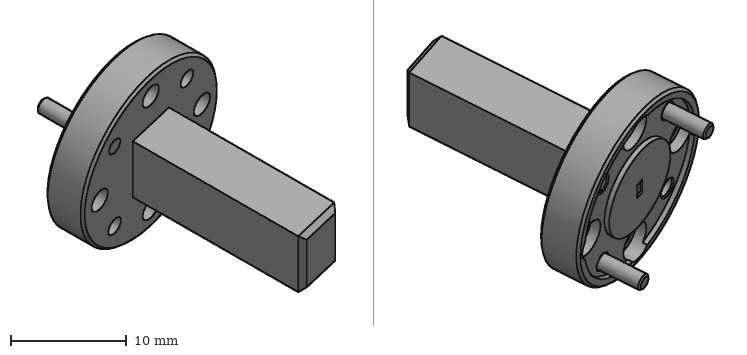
import cadquery as cq
import math

total_length = 26.6
pin_protrusion = 3.85

flange_diameter = 19.05
flange_thickness = 4.1
flange_chamfer = 0.27
front_x = -total_length / 2 + pin_protrusion
back_x = front_x + flange_thickness

recess_diameter = 17.2
hub_diameter = 9.55
recess_depth = 0.5

bar_width = 5.05
bar_height = 7.1
bar_chamfer = 0.53
bar_length = total_length / 2 - back_x

opening_width = 0.82
opening_height = 1.65
opening_depth = 0.2

hole_circle_radius = 7.15
bolt_hole_diameter = 2.25
counterbore_diameter = 3.6
counterbore_depth = 1.55
alignment_hole_diameter = 1.75
hole_chamfer = 0.13

pin_diameter = 1.57
pin_chamfer = 0.15
pin_length = pin_protrusion + flange_thickness

bolt_angles = [0, 90, 180, 270]
alignment_angles = [45, 225]
pin_angles = [135, 315]

floor_x = front_x + recess_depth


def circle_point(angle):
    """Y and Z of a point on the hole circle, with the angle measured from +Y."""
    radians = math.radians(angle)
    return hole_circle_radius * math.cos(radians), hole_circle_radius * math.sin(radians)


def rod(diameter, start_x, length, y=0.0, z=0.0):
    """Solid cylinder that runs along +X from start_x."""
    plane = cq.Workplane("YZ", origin=(start_x, y, z))
    return plane.circle(diameter / 2).extrude(length)


def chamfered_hole(diameter, y, z):
    """Cutter for a hole through the flange, with a chamfer at the recess floor."""
    mouth = cq.Workplane("YZ", origin=(floor_x, y, z)).circle(diameter / 2 + hole_chamfer)
    cone = mouth.workplane(offset=hole_chamfer).circle(diameter / 2).loft()
    return rod(diameter, front_x, flange_thickness, y, z).union(cone)


def make_flange_disc():
    disc = rod(flange_diameter, front_x, flange_thickness)
    disc = disc.faces("<X or >X").chamfer(flange_chamfer)
    hub = rod(hub_diameter, front_x, recess_depth)
    recess = rod(recess_diameter, front_x, recess_depth).cut(hub)
    return disc.cut(recess)


def make_bar():
    section = cq.Workplane("YZ", origin=(back_x, 0, 0)).rect(bar_width, bar_height)
    return section.extrude(bar_length).faces(">X").chamfer(bar_chamfer)


def make_housing():
    housing = make_flange_disc().union(make_bar())
    for angle in bolt_angles:
        y, z = circle_point(angle)
        housing = housing.cut(rod(bolt_hole_diameter, front_x, flange_thickness, y, z))
        housing = housing.cut(rod(counterbore_diameter, front_x, counterbore_depth, y, z))
    for angle in alignment_angles:
        housing = housing.cut(chamfered_hole(alignment_hole_diameter, *circle_point(angle)))
    for angle in pin_angles:
        housing = housing.cut(chamfered_hole(pin_diameter, *circle_point(angle)))
    opening = cq.Workplane("YZ", origin=(front_x, 0, 0)).rect(opening_width, opening_height)
    return housing.cut(opening.extrude(opening_depth))


def make_pin(angle):
    pin = rod(pin_diameter, front_x - pin_protrusion, pin_length, *circle_point(angle))
    return pin.faces("<X").chamfer(pin_chamfer)


housing = make_housing()
pins = [make_pin(angle) for angle in pin_angles]

result = cq.Compound.makeCompound([housing.val(), *[pin.val() for pin in pins]])